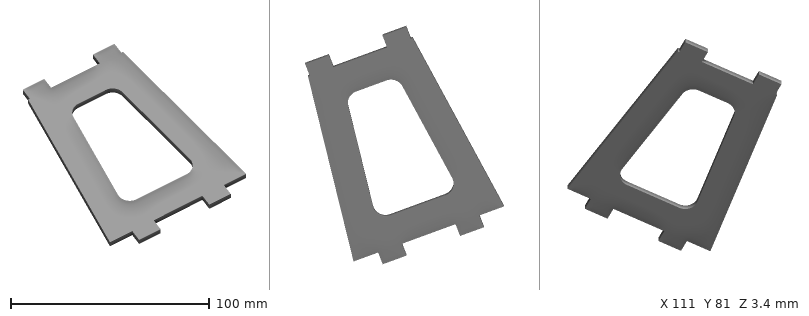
import cadquery as cq

overall_length = 111.0
wide_end_width = 81.0
narrow_end_width = 56.4
thickness = 3.4

tab_length = 6.5
tab_width = 12.8
tab_spacing = 41.7

window_length = 66.4
window_mid_width = 36.2
window_corner_radius = 6.5

body_length = overall_length - 2 * tab_length
taper = (wide_end_width - narrow_end_width) / body_length
body_mid_width = (wide_end_width + narrow_end_width) / 2


def trapezoid_plate(length, mid_width):
    """Tapered plate centred on the origin, widening towards +X."""
    half_length = length / 2
    half_narrow = (mid_width - taper * half_length) / 2
    half_wide = (mid_width + taper * half_length) / 2
    return (
        cq.Workplane("XY")
        .polyline([
            (-half_length, -half_narrow),
            (half_length, -half_wide),
            (half_length, half_wide),
            (-half_length, half_narrow),
        ])
        .close()
        .extrude(thickness)
    )


def tabs():
    """Four rectangular tabs, two on each end of the plate."""
    return (
        cq.Workplane("XY")
        .rarray(overall_length - tab_length, tab_spacing, 2, 2)
        .rect(tab_length, tab_width)
        .extrude(thickness)
    )


window = trapezoid_plate(window_length, window_mid_width).edges("|Z").fillet(window_corner_radius)
result = trapezoid_plate(body_length, body_mid_width).union(tabs()).cut(window)